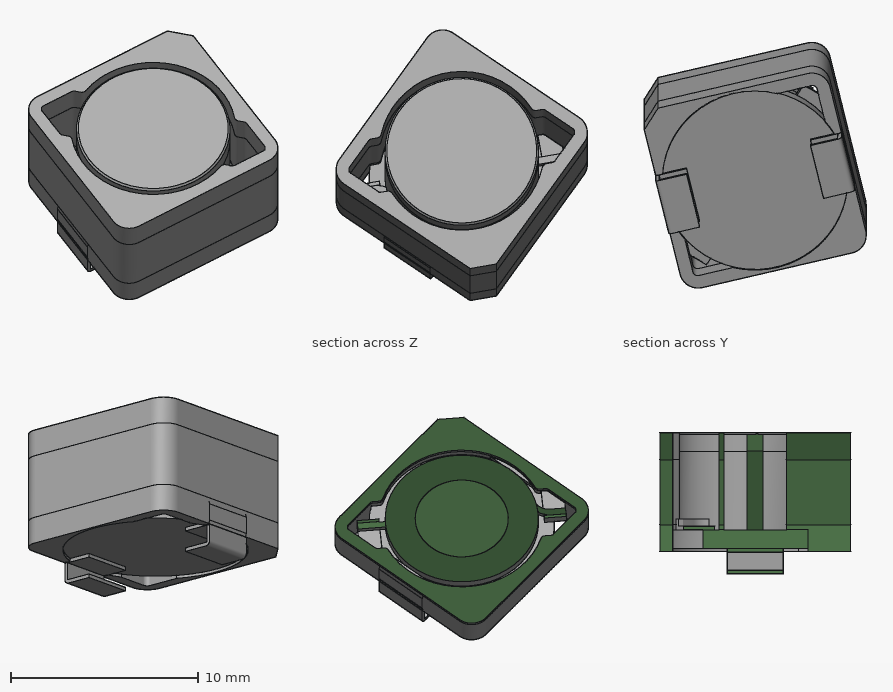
import cadquery as cq
import math


width = 10.2
half_width = width / 2
corner = 1.0
total_height = 7.55
shield_bottom = 1.19
end_ring_height = 1.45
lower_seam = shield_bottom + end_ring_height
upper_seam = total_height - end_ring_height
bore_radius = 4.4
pocket_width = 3.0
pocket_corner_radius = 0.25
pocket_lip_radius = 0.25

sheet = 0.2
bend_radius = 0.25
terminal_width = 3.0
foot_length = 1.7
clip_bottom = 1.15
foot_top = 1.17
clip_top = 2.56
plate_inner_y = 4.15
pad_inner = 4.4
pad_outer = 5.59

post_diameter = 5.0
flange_diameter = 8.2
flange_thickness = 1.0
flange_chamfer = 0.1
base_radius = 4.95
base_bottom = clip_bottom + sheet
base_top = clip_top - sheet
base_flat = half_width - sheet
flange_bottom = total_height - flange_thickness

wire_width = 0.38
wire_bend_start = 4.75
wire_bend_radius = 1.0
wire_bend_angle = 60

diagonal_angle = 45


def block(x_range, y_range, z_range):
    """Box given by its limits along each axis."""
    size = [high - low for low, high in (x_range, y_range, z_range)]
    start = (x_range[0], y_range[0], z_range[0])
    return cq.Workplane("XY").box(*size, centered=False).translate(start)


def half_turn(shape):
    """Copy on the opposite side of the Z axis."""
    return shape.rotate((0, 0, 0), (0, 0, 1), 180)


def to_diagonal(shape):
    """Turn a shape laid along +X onto the +X +Y corner diagonal."""
    return shape.rotate((0, 0, 0), (0, 0, 1), diagonal_angle)


def shield_opening(bottom, height):
    """Round bore with a wire pocket in the +X +Y and -X -Y corners."""
    bore = cq.Workplane("XY").circle(bore_radius).extrude(height)
    slot = to_diagonal(cq.Workplane("XY").rect(2 * width, pocket_width).extrude(height))
    square = cq.Workplane("XY").rect(2 * bore_radius, 2 * bore_radius).extrude(height)
    pockets = slot.intersect(square).edges("|Z").fillet(pocket_corner_radius)
    opening = bore.union(pockets)

    half_pocket = pocket_width / 2
    lip_angle = math.degrees(math.asin(half_pocket / bore_radius))
    for middle in (diagonal_angle, diagonal_angle + 180):
        for side in (-lip_angle, lip_angle):
            angle = math.radians(middle + side)
            lip = (bore_radius * math.cos(angle), bore_radius * math.sin(angle), height / 2)
            opening = opening.edges(cq.selectors.NearestToPointSelector(lip)).fillet(pocket_lip_radius)
    return opening.translate((0, 0, bottom))


def shield_ring(bottom, top):
    """One layer of the square shield."""
    height = top - bottom
    outline = cq.Workplane("XY").workplane(offset=bottom).rect(width, width).extrude(height)
    outline = outline.edges("|Z and (>X or <Y)").fillet(corner)
    outline = outline.edges("|Z and <X and >Y").chamfer(corner)
    return outline.cut(shield_opening(bottom, height))


def make_base():
    """Round base with flats for the terminals."""
    disc = cq.Workplane("XY").workplane(offset=base_bottom).circle(base_radius)
    disc = disc.extrude(base_top - base_bottom)
    flats = block((-width, width), (-base_flat, base_flat), (0, total_height))
    return disc.intersect(flats)


def make_core():
    """Winding post under a chamfered top flange."""
    post = cq.Workplane("XY").workplane(offset=base_top).circle(post_diameter / 2)
    post = post.extrude(flange_bottom - base_top)
    flange = cq.Workplane("XY").workplane(offset=flange_bottom).circle(flange_diameter / 2)
    flange = flange.extrude(flange_thickness).faces(">Z").chamfer(flange_chamfer)
    return post.union(flange)


def make_coil():
    """Winding as a plain sleeve between base and flange."""
    sleeve = cq.Workplane("XY").workplane(offset=base_top)
    sleeve = sleeve.circle(flange_diameter / 2).circle(post_diameter / 2)
    return sleeve.extrude(flange_bottom - base_top)


def make_terminal():
    """+Y terminal: clip around the base rim, foot below, wire pad at the corner."""
    half_terminal = terminal_width / 2
    across = (-half_terminal, half_terminal)
    foot_tip = half_width - foot_length
    inner_face = half_width - sheet
    inner_bend = bend_radius - sheet

    clip = block(across, (foot_tip, half_width), (clip_bottom, clip_top))
    clip = clip.edges("|X and >Y").fillet(bend_radius)
    clip = clip.cut(block(across, (foot_tip, inner_face), (base_bottom, base_top)))
    clip = clip.cut(block(across, (foot_tip, plate_inner_y), (base_top, clip_top)))

    foot = block(across, (foot_tip, half_width), (0, foot_top))
    foot = foot.edges("|X and >Y and <Z").fillet(bend_radius)
    hollow = block(across, (foot_tip - sheet, inner_face), (sheet, foot_top + sheet))
    foot = foot.cut(hollow.edges("|X and >Y and <Z").fillet(inner_bend))

    plate_outer_y = half_width - bend_radius
    tab_near = wire_width / 2
    tab_far = tab_near + sheet
    root = math.sqrt(2)
    plate = (
        cq.Workplane("XY")
        .workplane(offset=base_top)
        .moveTo(-half_terminal, plate_inner_y)
        .lineTo(pad_inner * root - plate_inner_y, plate_inner_y)
        .lineTo((pad_inner + tab_far) / root, (pad_inner - tab_far) / root)
        .lineTo((pad_outer + tab_far) / root, (pad_outer - tab_far) / root)
        .lineTo(pad_outer * root - plate_outer_y, plate_outer_y)
        .lineTo(-half_terminal, plate_outer_y)
        .close()
        .extrude(sheet)
    )

    tab = block((pad_inner, pad_outer), (-tab_far, -tab_near), (base_top, clip_top + wire_width))
    return clip.union(plate).union(to_diagonal(tab)).union(foot)


def make_wire(curved):
    """Wire end lying on the +X +Y pad; it leaves the coil straight or in a curve."""
    level = clip_top + wire_width / 2
    path = cq.Workplane("XY").workplane(offset=level).moveTo(pad_outer, 0)
    if curved:
        angle = math.radians(wire_bend_angle)

        def bend_point(turn):
            return (
                wire_bend_start - wire_bend_radius * math.sin(turn),
                wire_bend_radius * (1 - math.cos(turn)),
            )

        path = path.lineTo(wire_bend_start, 0)
        path = path.threePointArc(bend_point(angle / 2), bend_point(angle))
    else:
        path = path.lineTo(post_diameter / 2, 0)
    profile = cq.Workplane("YZ", origin=(pad_outer, 0, level)).rect(wire_width, wire_width)
    return to_diagonal(profile.sweep(path)).cut(make_coil())


base = make_base()
core = make_core()
coil = make_coil()
back_terminal = make_terminal()
terminals = [back_terminal, half_turn(back_terminal)]
wires = [make_wire(curved=True), half_turn(make_wire(curved=False))]

lower_ring = shield_ring(shield_bottom, lower_seam)
middle_ring = shield_ring(lower_seam, upper_seam)
upper_ring = shield_ring(upper_seam, total_height)

base_recess = cq.Workplane("XY").circle(base_radius).extrude(base_top)
lower_ring = lower_ring.cut(base_recess)
for terminal in terminals:
    lower_ring = lower_ring.cut(terminal)

bodies = [lower_ring, middle_ring, upper_ring, base, core, coil, *terminals, *wires]
result = cq.Compound.makeCompound([body.solids().val() for body in bodies])